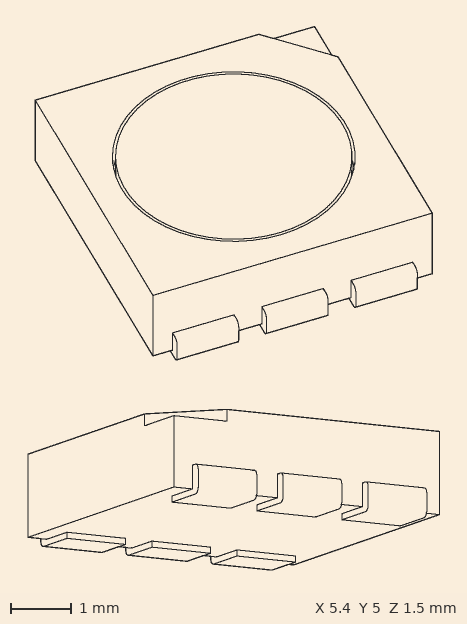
import cadquery as cq

overall_length = 5.4
overall_height = 1.5

body_side = 5.0
standoff = 0.1
body_height = overall_height - standoff

mark_leg = 1.0
mark_depth = 0.2

window_diameter = 3.9
ring_diameter = 4.0
ring_depth = 0.5

terminal_width = 1.1
terminal_pitch = 1.6
terminal_height = 0.5
terminal_length = 0.9
terminal_round = 0.1
terminals_per_side = 3


def make_body():
    """Square housing raised above the terminal soles."""
    return (
        cq.Workplane("XY")
        .workplane(offset=standoff)
        .rect(body_side, body_side)
        .extrude(body_height)
    )


def make_corner_mark():
    """Shallow triangular cutter for the marked corner."""
    half = body_side / 2
    return (
        cq.Workplane("XY")
        .workplane(offset=overall_height - mark_depth)
        .moveTo(-half, half)
        .lineTo(-half + mark_leg, half)
        .lineTo(-half, half - mark_leg)
        .close()
        .extrude(mark_depth)
    )


def make_ring():
    """Cutter for the groove around the window."""
    return (
        cq.Workplane("XY")
        .workplane(offset=overall_height - ring_depth)
        .circle(ring_diameter / 2)
        .circle(window_diameter / 2)
        .extrude(ring_depth)
    )


def make_terminal(side, y):
    """Terminal on the -X (side=-1) or +X (side=1) face, outer long edges rounded."""
    center_x = side * (overall_length - terminal_length) / 2
    outer_face = ">X" if side > 0 else "<X"
    return (
        cq.Workplane("XY")
        .box(terminal_length, terminal_width, terminal_height)
        .faces(outer_face)
        .edges("|Y")
        .fillet(terminal_round)
        .translate((center_x, y, terminal_height / 2))
    )


result = make_body().cut(make_corner_mark()).cut(make_ring())
for side in (-1, 1):
    for index in range(terminals_per_side):
        y = (index - (terminals_per_side - 1) / 2) * terminal_pitch
        result = result.union(make_terminal(side, y))